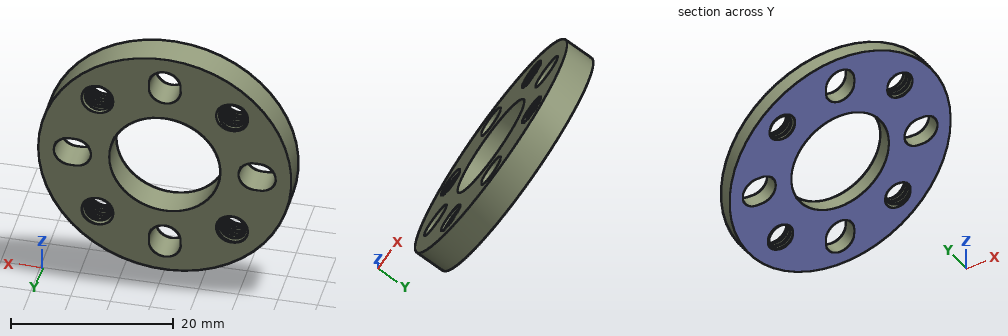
import cadquery as cq
import math

PLATE_DIAMETER = 31.95
PLATE_THICKNESS = 4.0
BORE_DIAMETER = 14.0
FRONT_FACE = (0, -PLATE_THICKNESS / 2, 0)

SLOT_COUNT = 4
SLOT_WIDTH = 4.0
SLOT_LENGTH = 4.685
SLOT_OUTER_END_RADIUS = 14.0
SLOT_CENTRE_RADIUS = SLOT_OUTER_END_RADIUS - SLOT_LENGTH / 2

TAPPED_HOLE_COUNT = 4
TAPPED_CIRCLE_RADIUS = 12.0
TAPPED_START_ANGLE = 45.0
THREAD_MAJOR_RADIUS = 2.0
THREAD_PITCH = 0.7
THREAD_FLANK_ANGLE = 30.0
TAP_DRILL_DIAMETER = 3.3
THREAD_MINOR_RADIUS = TAP_DRILL_DIAMETER / 2
THREAD_ROOT_FLAT = THREAD_PITCH / 8
THREAD_RUNOUT_TURNS = 2
COUNTERSINK_RADIUS = THREAD_MAJOR_RADIUS
COUNTERSINK_DEPTH = COUNTERSINK_RADIUS - THREAD_MINOR_RADIUS

RING_RADIUS = 2.6

CUTTER_OVERLAP = 0.08


def make_plate():
    return (
        cq.Workplane("XZ", origin=FRONT_FACE)
        .circle(PLATE_DIAMETER / 2)
        .circle(BORE_DIAMETER / 2)
        .extrude(-PLATE_THICKNESS)
    )


def cut_slots(plate):
    slots = (
        cq.Workplane("XZ", origin=FRONT_FACE)
        .polarArray(SLOT_CENTRE_RADIUS, 0, 360, SLOT_COUNT)
        .slot2D(SLOT_LENGTH, SLOT_WIDTH)
        .extrude(-PLATE_THICKNESS)
    )
    return plate.cut(slots)


def make_hole_cutter():
    """Tap-drill hole along Z, countersunk at both faces."""
    half = PLATE_THICKNESS / 2
    profile = [
        (0, -half),
        (COUNTERSINK_RADIUS, -half),
        (THREAD_MINOR_RADIUS, -half + COUNTERSINK_DEPTH),
        (THREAD_MINOR_RADIUS, half - COUNTERSINK_DEPTH),
        (COUNTERSINK_RADIUS, half),
        (0, half),
    ]
    return cq.Workplane("XZ").polyline(profile).close().revolve(360, (0, 0), (0, 1))


def make_thread_cutter():
    """Right-hand helical V-groove along Z that runs out past both faces."""
    inner_radius = THREAD_MINOR_RADIUS - CUTTER_OVERLAP
    flank_rise = (THREAD_MAJOR_RADIUS - inner_radius) * math.tan(math.radians(THREAD_FLANK_ANGLE))
    root_half = THREAD_ROOT_FLAT / 2
    mouth_half = root_half + flank_rise
    start = -PLATE_THICKNESS / 2 - THREAD_RUNOUT_TURNS * THREAD_PITCH
    helix = cq.Wire.makeHelix(THREAD_PITCH, 2 * abs(start), inner_radius, cq.Vector(0, 0, start))
    return (
        cq.Workplane("XZ")
        .polyline(
            [
                (inner_radius, start - mouth_half),
                (THREAD_MAJOR_RADIUS, start - root_half),
                (THREAD_MAJOR_RADIUS, start + root_half),
                (inner_radius, start + mouth_half),
            ]
        )
        .close()
        .sweep(cq.Workplane(helix), isFrenet=True)
    )


def make_threaded_ring():
    """Short tapped ring along Y, centred on the first tapped hole."""
    ring = cq.Workplane("XY").circle(RING_RADIUS).extrude(PLATE_THICKNESS / 2, both=True)
    ring = ring.cut(make_thread_cutter()).cut(make_hole_cutter())
    start_angle = math.radians(TAPPED_START_ANGLE)
    first_centre = (
        TAPPED_CIRCLE_RADIUS * math.cos(start_angle),
        0,
        TAPPED_CIRCLE_RADIUS * math.sin(start_angle),
    )
    return ring.rotate((0, 0, 0), (1, 0, 0), 90).translate(first_centre)


def add_tapped_holes(plate):
    """Open a pocket for each tapped hole and fuse a threaded ring into it."""
    pockets = (
        cq.Workplane("XZ", origin=FRONT_FACE)
        .polarArray(TAPPED_CIRCLE_RADIUS, TAPPED_START_ANGLE, 360, TAPPED_HOLE_COUNT)
        .circle(RING_RADIUS)
        .extrude(-PLATE_THICKNESS)
    )
    plate = plate.cut(pockets)
    ring = make_threaded_ring()
    for index in range(TAPPED_HOLE_COUNT):
        angle = index * 360 / TAPPED_HOLE_COUNT
        plate = plate.union(ring.rotate((0, 0, 0), (0, 1, 0), angle))
    return plate


result = add_tapped_holes(cut_slots(make_plate()))